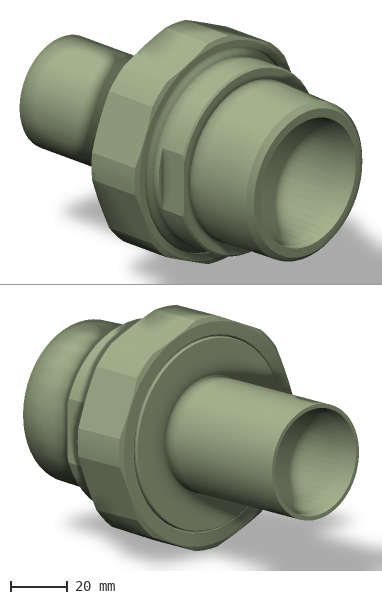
import cadquery as cq
import math


pipe_diameter = 42.0
pipe_bore = 39.0
flange_diameter = 70.0
shoulder_diameter = 74.0
flange_start = 54.9
flange_edge_chamfer = 0.3
pipe_root_fillet = 0.5

nut_start = 55.7
nut_end = 78.4
nut_length = nut_end - nut_start
nut_across_flats = 81.6
nut_corner_diameter = 84.67
nut_sides = 8
nut_chamfer_length = 0.7
nut_face_diameter = 81.0
nut_mouth_diameter = 70.5
nut_mouth_chamfer = 0.5
nut_lip_thickness = 5.0
nut_thread_diameter = 75.85

shoulder_thickness = 5.0
collar_diameter = 70.0
collar_back_chamfer = 0.7
collar_end = 93.1
collar_start = 79.9
body_bore = 48.0
flats_width = 66.0
flats_start = 82.5
taper_root_diameter = 60.5
taper_tip_diameter = 58.7
root_band_length = 0.7
taper_chamfer = 2.0
fitting_length = 122.0

shoulder_start = nut_start + nut_lip_thickness
body_start = shoulder_start + shoulder_thickness


def revolve_about_x(outline):
    """Turn an XY outline, given as (x, radius) points, around the X axis."""
    return cq.Workplane("XY").polyline(outline).close().revolve(360, (0, 0, 0), (1, 0, 0))


def make_tailpiece():
    pipe_radius = pipe_diameter / 2
    bore_radius = pipe_bore / 2
    flange_radius = flange_diameter / 2
    shoulder_radius = shoulder_diameter / 2
    fillet_centre = (flange_start - pipe_root_fillet, pipe_radius + pipe_root_fillet)
    fillet_reach = pipe_root_fillet * math.sqrt(0.5)
    return (
        cq.Workplane("XY")
        .moveTo(0, bore_radius)
        .lineTo(0, pipe_radius)
        .lineTo(flange_start - pipe_root_fillet, pipe_radius)
        .threePointArc(
            (fillet_centre[0] + fillet_reach, fillet_centre[1] - fillet_reach),
            (flange_start, pipe_radius + pipe_root_fillet),
        )
        .lineTo(flange_start, flange_radius - flange_edge_chamfer)
        .lineTo(flange_start + flange_edge_chamfer, flange_radius)
        .lineTo(shoulder_start, flange_radius)
        .lineTo(shoulder_start, shoulder_radius)
        .lineTo(body_start, shoulder_radius)
        .lineTo(body_start, bore_radius)
        .close()
        .revolve(360, (0, 0, 0), (1, 0, 0))
    )


def make_nut():
    across_corners = nut_across_flats / math.cos(math.pi / nut_sides)
    octagon = (
        cq.Workplane("YZ")
        .workplane(offset=nut_start)
        .polygon(nut_sides, across_corners)
        .extrude(nut_length)
    )
    face_radius = nut_face_diameter / 2
    corner_radius = nut_corner_diameter / 2
    envelope = revolve_about_x([
        (nut_start, 0),
        (nut_start, face_radius),
        (nut_start + nut_chamfer_length, corner_radius),
        (nut_end - nut_chamfer_length, corner_radius),
        (nut_end, face_radius),
        (nut_end, 0),
    ])
    mouth_radius = nut_mouth_diameter / 2
    thread_radius = nut_thread_diameter / 2
    opening = revolve_about_x([
        (nut_start, 0),
        (nut_start, mouth_radius + nut_mouth_chamfer),
        (nut_start + nut_mouth_chamfer, mouth_radius),
        (shoulder_start, mouth_radius),
        (shoulder_start, thread_radius),
        (nut_end, thread_radius),
        (nut_end, 0),
    ])
    return octagon.intersect(envelope).cut(opening)


def make_male_body():
    bore_radius = body_bore / 2
    collar_radius = collar_diameter / 2
    thread_radius = nut_thread_diameter / 2
    root_radius = taper_root_diameter / 2
    tip_radius = taper_tip_diameter / 2
    thread_chamfer = thread_radius - collar_radius
    body = revolve_about_x([
        (body_start, bore_radius),
        (body_start, thread_radius),
        (collar_start - thread_chamfer, thread_radius),
        (collar_start, collar_radius),
        (collar_end - collar_back_chamfer, collar_radius),
        (collar_end, collar_radius - collar_back_chamfer),
        (collar_end, root_radius),
        (collar_end + root_band_length, root_radius),
        (fitting_length - taper_chamfer, tip_radius),
        (fitting_length, tip_radius - taper_chamfer),
        (fitting_length, bore_radius),
    ])
    flat_length = collar_end - flats_start
    slab_width = 2 * collar_diameter
    for side in (-1, 1):
        slab = (
            cq.Workplane("XY")
            .box(flat_length, collar_diameter, slab_width, centered=(False, True, True))
            .translate((flats_start, side * (flats_width + collar_diameter) / 2, 0))
        )
        body = body.cut(slab)
    return body


tailpiece = make_tailpiece()
nut = make_nut()
male_body = make_male_body()

result = cq.Compound.makeCompound([tailpiece.val(), nut.val(), male_body.val()])